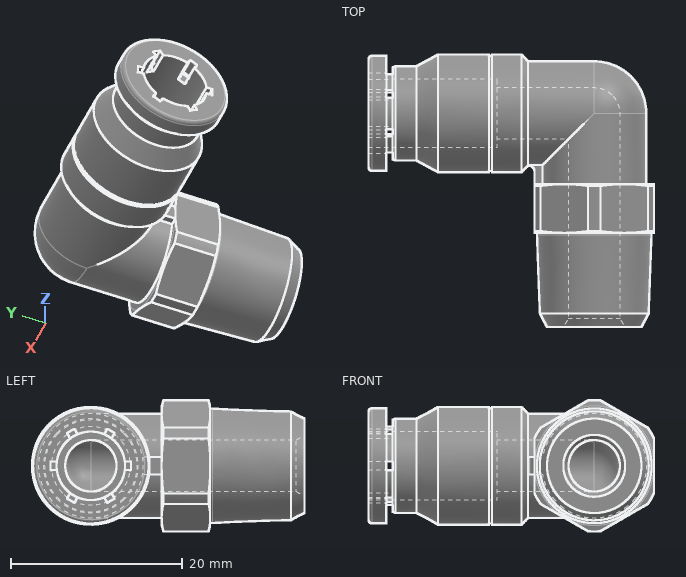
import cadquery as cq
import math


length_x = 33.4
hex_flats = 14.0
elbow_x = length_x - hex_flats / 2

arm_radius = 12.22 / 2
bore_radius = 6.0 / 2
tube_bore_radius = 8.0 / 2
tube_bore_depth = 15.03

flange_radius = 13.5 / 2
flange_width = 2.1
flange_edge_round = 0.45
collet_radius = 9.22 / 2
slot_count = 6
slot_width = 1.0
slot_outer_radius = 4.7

body_radius = 13.8 / 2
neck_radius = 11.05 / 2
neck_start = 2.85
neck_chamfer_length = 0.35
neck_chamfer_depth = 0.15
cone_start = 5.6
cone_end = 8.15
groove_start = 14.1
groove_width = 0.35
groove_depth = 0.15
body_taper_start = 17.9
body_end = 18.67

hex_start = 8.28
hex_end = 13.95
hex_corner_radius = 15.4 / 2
hex_chamfer_height = 0.2
collar_end = 14.23
thread_start_radius = 13.43 / 2
thread_taper_end = 23.38
thread_taper_end_radius = 12.75 / 2
thread_tip_radius = 11.05 / 2
thread_end = 31.9 - body_radius
mouth_radius = 7.25 / 2
mouth_depth = 1.0

web_thickness = 2.05
web_fillet = 0.67


def x_cylinder(radius, start, end):
    return cq.Workplane("YZ", origin=(start, 0, 0)).circle(radius).extrude(end - start)


def y_cylinder(radius, start, end):
    """Cylinder on the threaded arm axis, measured from the elbow centre toward -Y."""
    return cq.Workplane("XZ", origin=(elbow_x, -start, 0)).circle(radius).extrude(end - start)


def revolve_on_y(profile):
    """Turn a closed (radius, distance) profile about the threaded arm axis."""
    points = [(radius, -distance) for radius, distance in profile]
    turned = cq.Workplane("XY").polyline(points).close().revolve(360, (0, 0, 0), (0, 1, 0))
    return turned.translate((elbow_x, 0, 0))


def make_elbow(radius, x_start, y_end):
    """Two mitred cylinders with a spherical outer corner."""
    corner = cq.Workplane("XY").sphere(radius).translate((elbow_x, 0, 0))
    return x_cylinder(radius, x_start, elbow_x).union(y_cylinder(radius, 0, y_end)).union(corner)


def make_socket_body():
    groove_end = groove_start + groove_width
    groove_radius = body_radius - groove_depth
    profile = [
        (neck_start, 0),
        (neck_start, neck_radius - neck_chamfer_depth),
        (neck_start + neck_chamfer_length, neck_radius),
        (cone_start, neck_radius),
        (cone_end, body_radius),
        (groove_start, body_radius),
        (groove_start, groove_radius),
        (groove_end, groove_radius),
        (groove_end, body_radius),
        (body_taper_start, body_radius),
        (body_end, arm_radius),
        (body_end, 0),
    ]
    return cq.Workplane("XY").polyline(profile).close().revolve(360, (0, 0, 0), (1, 0, 0))


def make_collet():
    flange = x_cylinder(flange_radius, 0, flange_width).faces("<X").edges().fillet(flange_edge_round)
    return flange.union(x_cylinder(collet_radius, 0, cone_start))


def make_collet_slots():
    """Radial slots open at the collet face and ending where the neck begins."""
    slot = cq.Workplane("XY").box(neck_start, slot_outer_radius, slot_width, centered=(False, False, True))
    slots = slot
    for index in range(1, slot_count):
        slots = slots.union(slot.rotate((0, 0, 0), (1, 0, 0), index * 360 / slot_count))
    return slots


def make_hexagon():
    """Hexagon with flats facing X and corners trimmed by a cylinder chamfered at both ends."""
    corner_diameter = hex_flats / math.cos(math.pi / 6)
    hexagon = (
        cq.Workplane("XZ", origin=(elbow_x, -hex_start, 0))
        .transformed(rotate=(0, 0, 90))
        .polygon(6, corner_diameter)
        .extrude(hex_end - hex_start)
    )
    envelope = revolve_on_y([
        (0, hex_start),
        (hex_flats / 2, hex_start),
        (hex_corner_radius, hex_start + hex_chamfer_height),
        (hex_corner_radius, hex_end - hex_chamfer_height),
        (hex_flats / 2, hex_end),
        (0, hex_end),
    ])
    return hexagon.intersect(envelope)


def make_thread():
    return revolve_on_y([
        (0, hex_start),
        (thread_start_radius, hex_start),
        (thread_start_radius, collar_end),
        (thread_taper_end_radius, thread_taper_end),
        (thread_tip_radius, thread_end),
        (0, thread_end),
    ])


def make_web():
    """Web in the inner corner, flush with the hexagon flat and blended into the tube arm."""
    outer_x = elbow_x - hex_flats / 2
    return (
        cq.Workplane("XY", origin=(0, 0, -web_thickness / 2))
        .moveTo(elbow_x, -hex_start)
        .lineTo(outer_x, -hex_start)
        .lineTo(outer_x, -arm_radius - web_fillet)
        .radiusArc((outer_x - web_fillet, -arm_radius), -web_fillet)
        .lineTo(outer_x - web_fillet, 0)
        .lineTo(elbow_x, 0)
        .close()
        .extrude(web_thickness)
    )


def make_mouth():
    """Conical lead-in at the open end of the threaded arm."""
    return revolve_on_y([
        (0, thread_end),
        (mouth_radius, thread_end),
        (bore_radius, thread_end - mouth_depth),
        (0, thread_end - mouth_depth),
    ])


outside = (
    make_elbow(arm_radius, cone_end, hex_end)
    .union(make_socket_body())
    .union(make_collet())
    .union(make_hexagon())
    .union(make_thread())
    .union(make_web())
)

result = (
    outside
    .cut(make_elbow(bore_radius, 0, thread_end))
    .cut(x_cylinder(tube_bore_radius, 0, tube_bore_depth))
    .cut(make_collet_slots())
    .cut(make_mouth())
)